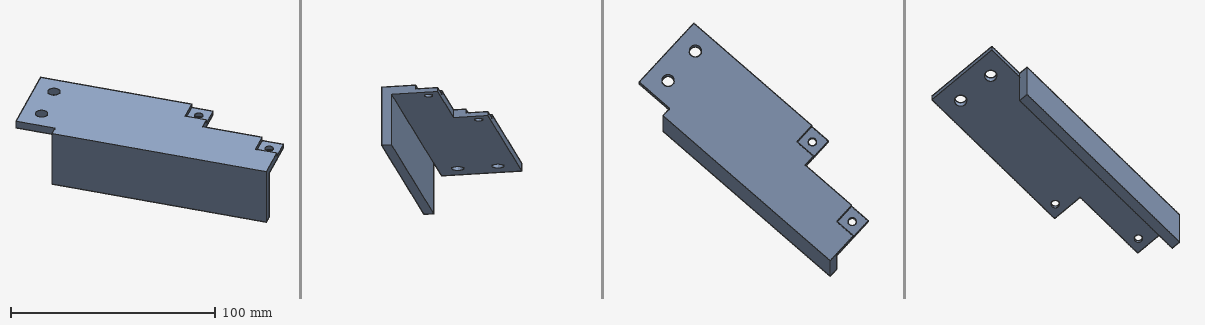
import cadquery as cq

length = 130.0
width = 45.0
height = 30.0

plate_thickness = 4.0
wall_thickness = 5.0
tongue_length = 20.0

step_x = 88.5
step_depth = 17.0

mount_diameter = 6.0
mount_edge_distance = 10.0
mount_spacing = 20.0

seat_size = 10.9
seat_depth = 2.0
screw_diameter = 4.0
screw_edge_distance = 5.6


def make_plate():
    """Stepped plate, flush with the top of the wall."""
    outline = [
        (0, wall_thickness),
        (length, wall_thickness),
        (length, width - step_depth),
        (step_x, width - step_depth),
        (step_x, width),
        (0, width),
    ]
    return (
        cq.Workplane("XY")
        .workplane(offset=height - plate_thickness)
        .polyline(outline)
        .close()
        .extrude(plate_thickness)
    )


def make_wall():
    """Full-height wall along the front edge."""
    return cq.Workplane("XY").box(
        length - tongue_length, wall_thickness, height, centered=False
    ).translate((tongue_length, 0, 0))


def make_hole(x, y, diameter):
    """Vertical cutter passing through the plate."""
    return cq.Workplane("XY").center(x, y).circle(diameter / 2).extrude(height)


def make_seat(corner_x, corner_y):
    """Square corner recess with a through screw hole."""
    recess = cq.Workplane("XY").box(seat_size, seat_size, seat_depth, centered=False).translate(
        (corner_x - seat_size, corner_y - seat_size, height - seat_depth)
    )
    hole = make_hole(corner_x - screw_edge_distance, corner_y - screw_edge_distance, screw_diameter)
    return recess.union(hole)


result = make_plate().union(make_wall())

for row in range(2):
    mount_y = width - mount_edge_distance - row * mount_spacing
    result = result.cut(make_hole(mount_edge_distance, mount_y, mount_diameter))

for corner_x, corner_y in [(step_x, width), (length, width - step_depth)]:
    result = result.cut(make_seat(corner_x, corner_y))